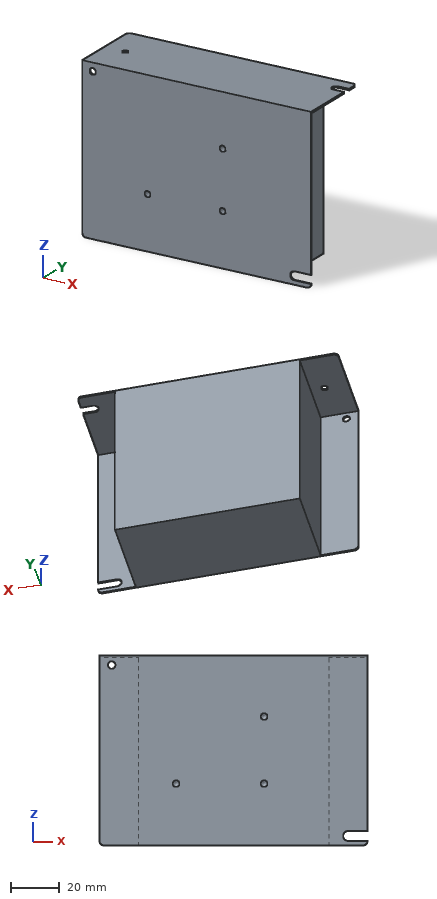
import cadquery as cq
import math

length = 110.0
depth = 36.0
height = 78.0

sheet = 0.8
corner_radius = 2.0

body_inset = 16.0

slot_width = 4.0
front_slot_length = 10.0
front_slot_z = 4.0
top_slot_length = 7.0
top_slot_y = depth - 7.9

front_hole_diameter = 3.0
front_hole_x = 5.1
front_hole_z = height - 4.0
top_hole_diameter = 2.6
top_hole_x = 10.1
top_hole_y = depth - 18.6

screw_diameter = 2.8
screw_depth = 6.0
tip_angle = 118.0
screw_left_x = 31.5
screw_right_x = 67.5
screw_low_z = 25.4
screw_high_z = 52.9
screw_positions = [
    (screw_left_x, screw_low_z),
    (screw_right_x, screw_low_z),
    (screw_right_x, screw_high_z),
]


def block(x_size, y_size, z_size, corner):
    return cq.Workplane("XY").box(x_size, y_size, z_size, centered=False).translate(corner)


def slot_profile(plane, slot_length, across):
    """Round-ended slot, cut past the +X end of a sheet."""
    radius = slot_width / 2
    center_x = length - slot_length + radius
    return (
        plane.moveTo(length + radius, across - radius)
        .lineTo(center_x, across - radius)
        .threePointArc((center_x - radius, across), (center_x, across + radius))
        .lineTo(length + radius, across + radius)
        .close()
    )


def front_plane():
    """XZ sketch plane on the front face; positive extrusion goes toward -Y."""
    return cq.Workplane("XZ")


def top_plane():
    """XY sketch plane on the underside of the top flange."""
    return cq.Workplane("XY").workplane(offset=height - sheet)


def front_plate():
    plate = block(length, sheet, height, (0, 0, 0)).edges("|Y and <Z").fillet(corner_radius)
    slot = slot_profile(front_plane(), front_slot_length, front_slot_z).extrude(-sheet)
    hole = front_plane().center(front_hole_x, front_hole_z).circle(front_hole_diameter / 2).extrude(-sheet)
    return plate.cut(slot).cut(hole)


def top_flange():
    flange = block(length, depth, sheet, (0, 0, height - sheet)).edges("|Z and >Y").fillet(corner_radius)
    slot = slot_profile(top_plane(), top_slot_length, top_slot_y).extrude(sheet)
    hole = top_plane().center(top_hole_x, top_hole_y).circle(top_hole_diameter / 2).extrude(sheet)
    return flange.cut(slot).cut(hole)


def screw_hole(x, z):
    radius = screw_diameter / 2
    tip_length = radius / math.tan(math.radians(tip_angle / 2))
    half_section = (
        cq.Workplane("XY")
        .lineTo(radius, 0)
        .lineTo(radius, screw_depth)
        .lineTo(0, screw_depth + tip_length)
        .close()
    )
    drill = half_section.revolve(360, (0, 0, 0), (0, 1, 0))
    return drill.translate((x, 0, z))


body = block(
    length - 2 * body_inset,
    depth - sheet,
    height - sheet,
    (body_inset, sheet, 0),
)
result = front_plate().union(top_flange()).union(body)
for screw_x, screw_z in screw_positions:
    result = result.cut(screw_hole(screw_x, screw_z))